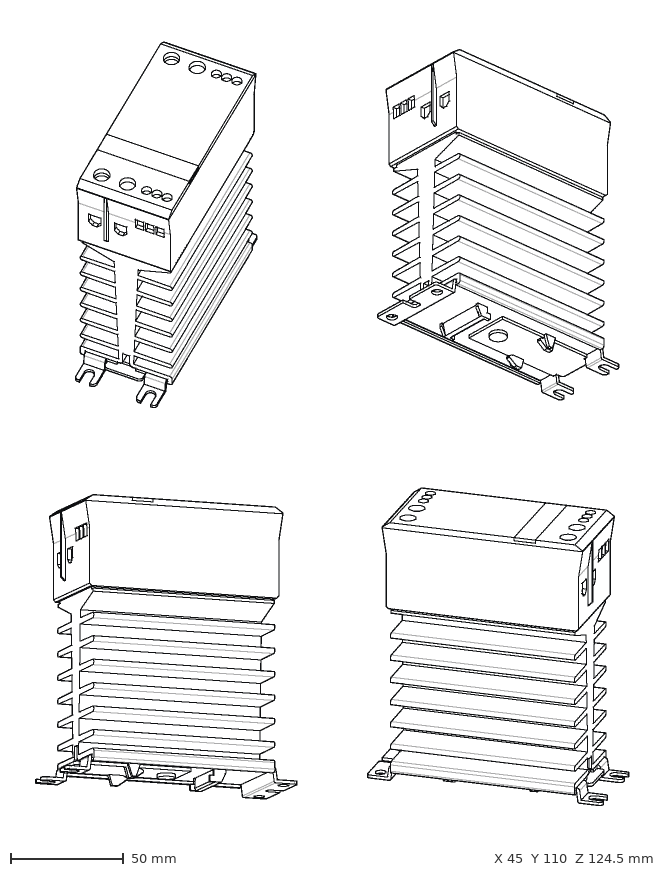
import cadquery as cq

WIDTH = 45.0
HALF_WIDTH = WIDTH / 2
SHEET = 1.5

TOP_Z = 124.5
LID_Z = 121.6
HOUSING_Z = 83.4
FOOT_BOTTOM_Z = 4.9
PLATE_TOP_Z = 7.7
PLATE_BOTTOM_Z = PLATE_TOP_Z - SHEET
SLIDER_BOTTOM_Z = PLATE_BOTTOM_Z - SHEET
LUG_BOTTOM_Z = 0.5

LID_HALF_LENGTH = 46.9
HOUSING_HALF_LENGTH = 45.1
LID_CHAMFER_LENGTH = 3.6
LID_CHAMFER_DROP = 2.5
SLOPE_END_Z = 109.7
HOUSING_CHAMFER = 1.0
RIB_CENTRE_X = -8.3
RIB_THICKNESS = 1.2
RIB_BOTTOM_Z = 90.6
RIB_CHAMFER = LID_HALF_LENGTH - HOUSING_HALF_LENGTH

POWER_X = (-14.5, -1.9)
CONTROL_X = (7.5, 12.5, 17.4)
SCREW_ROW_Y = 37.5
POWER_SCREW_DIAMETER = 7.2
CONTROL_SCREW_DIAMETER = 4.5
OUTER_SCREW_RECESS = 1.9
POWER_WINDOW_WIDTH = 6.0
POWER_WINDOW_TOP_Z = 104.5
POWER_WINDOW_BOTTOM_Z = 97.7
POWER_WINDOW_CHAMFER = 1.9
CONTROL_WINDOW_WIDTH = 4.0
CONTROL_WINDOW_TOP_Z = 112.0
CONTROL_WINDOW_BOTTOM_Z = 106.3
WINDOW_DEPTH = 1.9

LABEL_CENTRE_Y = -19.8
LABEL_LENGTH = 10.0
LABEL_THICKNESS = 1.5

SINK_HALF_LENGTH = 43.1
NECK_HALF_WIDTH = 19.8
FLANGE_HALF_WIDTH = 21.7
FLANGE_TOP_Z = 82.4
FLANGE_EDGE_Z = 81.0
STEM_TOP_Z = 75.3
STEM_TOP_HALF_WIDTH = 5.9
STEM_BOTTOM_HALF_WIDTH = 3.6
FIN_COUNT = 6
FIN_PITCH = 10.6
LOWEST_FIN_Z = 17.4
FIN_ROOT_HALF = 1.5
FIN_TIP_RADIUS = 1.2
FOOT_TOP_Z = 10.3
FOOT_RADIUS = 1.2
FOOT_INNER_HALF_WIDTH = 19.8
GROOVE_HALF_WIDTH = 20.2
STEM_SLOT_WIDTH = 3.4
STEM_SLOT_TOP_Z = 14.8
STEM_SLOT_CHAMFER = 1.1

TAB_OUTER_X = FOOT_INNER_HALF_WIDTH
TAB_INNER_X = 9.7
TAB_BEND_Y = 44.5
TAB_FOOT_Y = 45.3
TAB_FOOT_END_Y = 55.0
TAB_BEND_RADIUS = 1.5
TAB_HEEL_RADIUS = 0.7
TAB_OUTER_RADIUS = 1.5
TAB_INNER_RADIUS = 2.1
MOUNT_X = 15.0
MOUNT_SLOT_WIDTH = 4.9
MOUNT_SLOT_END_Y = 47.4
MOUNT_HOLE_DIAMETER = 4.7
MOUNT_HOLE_Y = 50.0
BACK_SLOT_WIDTH = 4.4
BACK_SLOT_END_Y = 47.9
BACK_SLOT_RADIUS = 1.1
PLATE_NOTCH_WIDTH = 9.1
PLATE_NOTCH_DEPTH = 1.5
LUG_INNER_X = 11.2

HOOK_OUTLINE = [
    (23.5, PLATE_BOTTOM_Z), (23.5, 4.7), (21.4, LUG_BOTTOM_Z), (16.3, LUG_BOTTOM_Z),
    (15.9, 0.9), (15.9, 3.4), (17.9, 3.4), (17.9, PLATE_BOTTOM_Z),
]
GUIDE_OUTLINE = [
    (-17.2, PLATE_BOTTOM_Z), (-19.2, LUG_BOTTOM_Z), (-20.9, LUG_BOTTOM_Z), (-22.9, PLATE_BOTTOM_Z),
]
STOP_WALL_OUTLINE = [
    (18.2, PLATE_BOTTOM_Z), (17.8, 1.5), (18.5, LUG_BOTTOM_Z), (21.4, LUG_BOTTOM_Z), (22.9, PLATE_BOTTOM_Z),
]
JAW_OUTLINE = [
    (-15.1, 3.7), (-15.1, 2.9), (-19.2, 0), (-22.2, 0), (-23.5, SLIDER_BOTTOM_Z), (-17.2, SLIDER_BOTTOM_Z),
]

SLIDER_FRONT_Y = -SINK_HALF_LENGTH
SLIDER_BACK_Y = 7.5
TONGUE_HALF_WIDTH = 9.2
TONGUE_END_Y = -46.9
TONGUE_CORNER_RADIUS = 1.9
RIVET_HEAD_DIAMETER = 8.1
RIVET_HEAD_HEIGHT = 1.5
RIVET_SHANK_DIAMETER = 5.0


def box(x0, x1, y0, y1, z0, z1):
    return cq.Workplane("XY").box(x1 - x0, y1 - y0, z1 - z0, centered=False).translate((x0, y0, z0))


def prism_along_x(points, x0, x1):
    """Outline given as (y, z) points, extruded from x0 to x1."""
    return cq.Workplane("YZ", origin=(x0, 0, 0)).polyline(points).close().extrude(x1 - x0)


def centred_slab(half_width, z0, z1):
    """Slab as long as the heat sink, centred on the part."""
    return box(-half_width, half_width, -SINK_HALF_LENGTH, SINK_HALF_LENGTH, z0, z1)


def mirrored(points):
    """Symmetric outline from the points of its positive half, listed from top to bottom."""
    return points + [(-a, b) for a, b in reversed(points)]


def make_lid():
    outline = mirrored([
        (LID_HALF_LENGTH - LID_CHAMFER_LENGTH, TOP_Z),
        (LID_HALF_LENGTH, TOP_Z - LID_CHAMFER_DROP),
        (LID_HALF_LENGTH, LID_Z),
    ])
    lid = prism_along_x(outline, -HALF_WIDTH, HALF_WIDTH).cut(make_label())
    rows = (-SCREW_ROW_Y, SCREW_ROW_Y)
    for columns, diameter in ((POWER_X, POWER_SCREW_DIAMETER), (CONTROL_X, CONTROL_SCREW_DIAMETER)):
        centres = [(x, y) for x in columns for y in rows]
        base = cq.Workplane("XY", origin=(0, 0, LID_Z))
        lid = lid.cut(base.pushPoints(centres).circle(diameter / 2).extrude(TOP_Z - LID_Z))
    return lid


def make_label():
    return box(-HALF_WIDTH, HALF_WIDTH,
               LABEL_CENTRE_Y - LABEL_LENGTH / 2, LABEL_CENTRE_Y + LABEL_LENGTH / 2,
               TOP_Z - LABEL_THICKNESS, TOP_Z)


def barrier_rib():
    """Rib between the power terminals, standing out from both end walls."""
    outline = mirrored([
        (LID_HALF_LENGTH, LID_Z),
        (LID_HALF_LENGTH, RIB_BOTTOM_Z + RIB_CHAMFER),
        (HOUSING_HALF_LENGTH, RIB_BOTTOM_Z),
    ])
    return prism_along_x(outline, RIB_CENTRE_X - RIB_THICKNESS / 2, RIB_CENTRE_X + RIB_THICKNESS / 2)


def wire_windows():
    """Cutters for the wire entries in the -Y end wall."""
    front = cq.Workplane("XZ", origin=(0, WINDOW_DEPTH - HOUSING_HALF_LENGTH, 0))
    reach = WINDOW_DEPTH + LID_HALF_LENGTH - HOUSING_HALF_LENGTH
    half = POWER_WINDOW_WIDTH / 2
    outline = mirrored([
        (half, POWER_WINDOW_TOP_Z),
        (half, POWER_WINDOW_BOTTOM_Z + POWER_WINDOW_CHAMFER),
        (half - POWER_WINDOW_CHAMFER, POWER_WINDOW_BOTTOM_Z),
    ])
    cutters = [front.center(x, 0).polyline(outline).close().extrude(reach) for x in POWER_X]
    height = CONTROL_WINDOW_TOP_Z - CONTROL_WINDOW_BOTTOM_Z
    for x in CONTROL_X:
        cutters.append(
            front.center(x, CONTROL_WINDOW_BOTTOM_Z + height / 2)
            .rect(CONTROL_WINDOW_WIDTH, height).extrude(reach)
        )
    return cutters


def make_housing():
    outline = mirrored([
        (LID_HALF_LENGTH, LID_Z),
        (HOUSING_HALF_LENGTH, SLOPE_END_Z),
        (HOUSING_HALF_LENGTH, HOUSING_Z + HOUSING_CHAMFER),
        (HOUSING_HALF_LENGTH - HOUSING_CHAMFER, HOUSING_Z),
    ])
    housing = prism_along_x(outline, -HALF_WIDTH, HALF_WIDTH).union(barrier_rib())
    for window in wire_windows():
        housing = housing.cut(window)
        housing = housing.cut(window.mirror("XZ"))
    recesses = cq.Workplane("XY", origin=(POWER_X[0], 0, LID_Z - OUTER_SCREW_RECESS))
    recesses = recesses.pushPoints([(0, -SCREW_ROW_Y), (0, SCREW_ROW_Y)])
    housing = housing.cut(recesses.circle(POWER_SCREW_DIAMETER / 2).extrude(OUTER_SCREW_RECESS))
    return housing


def sink_plane():
    return cq.Workplane("XZ", origin=(0, SINK_HALF_LENGTH, 0))


def fin(z):
    """Pair of fins, tapering from the stem to a full round at each tip."""
    arc_x = HALF_WIDTH - FIN_TIP_RADIUS
    return (
        sink_plane()
        .moveTo(0, z + FIN_ROOT_HALF)
        .lineTo(arc_x, z + FIN_TIP_RADIUS)
        .threePointArc((HALF_WIDTH, z), (arc_x, z - FIN_TIP_RADIUS))
        .lineTo(0, z - FIN_ROOT_HALF)
        .lineTo(-arc_x, z - FIN_TIP_RADIUS)
        .threePointArc((-HALF_WIDTH, z), (-arc_x, z + FIN_TIP_RADIUS))
        .close().extrude(2 * SINK_HALF_LENGTH)
    )


def sink_foot():
    foot = centred_slab(HALF_WIDTH, FOOT_BOTTOM_Z, FOOT_TOP_Z).edges("|Y").fillet(FOOT_RADIUS)
    opening = centred_slab(FOOT_INNER_HALF_WIDTH, FOOT_BOTTOM_Z, PLATE_TOP_Z)
    groove = centred_slab(GROOVE_HALF_WIDTH, PLATE_BOTTOM_Z, PLATE_TOP_Z)
    return foot.cut(opening).cut(groove)


def make_heat_sink():
    stem = mirrored([
        (NECK_HALF_WIDTH, HOUSING_Z),
        (NECK_HALF_WIDTH, FLANGE_TOP_Z),
        (FLANGE_HALF_WIDTH, FLANGE_TOP_Z),
        (FLANGE_HALF_WIDTH, FLANGE_EDGE_Z),
        (STEM_TOP_HALF_WIDTH, STEM_TOP_Z),
        (STEM_BOTTOM_HALF_WIDTH, FOOT_TOP_Z),
    ])
    sink = sink_plane().polyline(stem).close().extrude(2 * SINK_HALF_LENGTH)
    sink = sink.union(sink_foot())
    for i in range(FIN_COUNT):
        sink = sink.union(fin(LOWEST_FIN_Z + i * FIN_PITCH))
    half = STEM_SLOT_WIDTH / 2
    slot = mirrored([
        (half, STEM_SLOT_TOP_Z),
        (half, PLATE_TOP_Z + STEM_SLOT_CHAMFER),
        (half + STEM_SLOT_CHAMFER, PLATE_TOP_Z),
    ])
    return sink.cut(sink_plane().polyline(slot).close().extrude(2 * SINK_HALF_LENGTH))


def bent_tab(x0, x1):
    """Tab at the +Y end: bends down from the plate, then out into a flat foot."""
    start_y = SINK_HALF_LENGTH - SHEET
    foot_top_z = LUG_BOTTOM_Z + SHEET
    tab = prism_along_x([
        (start_y, PLATE_TOP_Z),
        (TAB_BEND_Y, PLATE_TOP_Z),
        (TAB_FOOT_Y, foot_top_z),
        (TAB_FOOT_END_Y, foot_top_z),
        (TAB_FOOT_END_Y, LUG_BOTTOM_Z),
        (TAB_FOOT_Y - SHEET, LUG_BOTTOM_Z),
        (SINK_HALF_LENGTH, PLATE_BOTTOM_Z),
        (start_y, PLATE_BOTTOM_Z),
    ], x0, x1)
    middle_x = (x0 + x1) / 2
    bend = cq.selectors.NearestToPointSelector((middle_x, TAB_BEND_Y, PLATE_TOP_Z))
    heel = cq.selectors.NearestToPointSelector((middle_x, TAB_FOOT_Y - SHEET, LUG_BOTTOM_Z))
    return tab.edges(bend).fillet(TAB_BEND_RADIUS).edges(heel).fillet(TAB_HEEL_RADIUS)


def back_tab():
    tab = bent_tab(-TAB_OUTER_X, TAB_OUTER_X)
    tab = tab.edges("|Z and >Y").fillet(TAB_OUTER_RADIUS)
    holes = cq.Workplane("XY").pushPoints([(-MOUNT_X, MOUNT_HOLE_Y), (MOUNT_X, MOUNT_HOLE_Y)])
    tab = tab.cut(holes.circle(MOUNT_HOLE_DIAMETER / 2).extrude(PLATE_BOTTOM_Z))
    slot = box(-BACK_SLOT_WIDTH / 2, BACK_SLOT_WIDTH / 2, BACK_SLOT_END_Y, TAB_FOOT_END_Y, 0, PLATE_BOTTOM_Z)
    return tab.cut(slot.edges("|Z and <Y").fillet(BACK_SLOT_RADIUS))


def front_tab():
    """Forked tab on the +X side of the front end."""
    tab = bent_tab(TAB_INNER_X, TAB_OUTER_X)
    tab = tab.edges("|Z and >Y and >X").fillet(TAB_OUTER_RADIUS)
    tab = tab.edges("|Z and >Y and <X").fillet(TAB_INNER_RADIUS)
    radius = MOUNT_SLOT_WIDTH / 2
    arc_y = MOUNT_SLOT_END_Y + radius
    slot = box(MOUNT_X - radius, MOUNT_X + radius, arc_y, TAB_FOOT_END_Y, 0, PLATE_BOTTOM_Z)
    slot_end = cq.Workplane("XY").center(MOUNT_X, arc_y).circle(radius).extrude(PLATE_BOTTOM_Z)
    return tab.cut(slot).cut(slot_end).mirror("XZ")


def rail_lugs():
    """Lugs on the +X side, bent down from the plate: a rail hook and a guide for the jaw."""
    return [prism_along_x(outline, LUG_INNER_X, LUG_INNER_X + SHEET)
            for outline in (HOOK_OUTLINE, GUIDE_OUTLINE)]


def stop_wall():
    """Cross wall that joins the two rail hooks."""
    return prism_along_x(STOP_WALL_OUTLINE, -LUG_INNER_X, LUG_INNER_X)


def make_plate():
    plate = centred_slab(GROOVE_HALF_WIDTH, PLATE_BOTTOM_Z, PLATE_TOP_Z)
    notch = box(-PLATE_NOTCH_WIDTH / 2, PLATE_NOTCH_WIDTH / 2,
                -SINK_HALF_LENGTH, PLATE_NOTCH_DEPTH - SINK_HALF_LENGTH,
                PLATE_BOTTOM_Z, PLATE_TOP_Z)
    plate = plate.cut(notch)
    plate = plate.union(back_tab()).union(stop_wall())
    for piece in [front_tab()] + rail_lugs():
        plate = plate.union(piece).union(piece.mirror("YZ"))
    return plate.cut(make_rivet())


def jaw_cheek():
    """Cheek on the +X side that grips the rail."""
    return prism_along_x(JAW_OUTLINE, TONGUE_HALF_WIDTH, LUG_INNER_X)


def make_slider():
    tongue = box(-TONGUE_HALF_WIDTH, TONGUE_HALF_WIDTH, TONGUE_END_Y, SLIDER_FRONT_Y,
                 SLIDER_BOTTOM_Z, PLATE_BOTTOM_Z)
    tongue = tongue.edges("|Z and <Y").fillet(TONGUE_CORNER_RADIUS)
    slider = box(-LUG_INNER_X, LUG_INNER_X, SLIDER_FRONT_Y, SLIDER_BACK_Y, SLIDER_BOTTOM_Z, PLATE_BOTTOM_Z)
    cheek = jaw_cheek()
    slider = slider.union(tongue).union(cheek).union(cheek.mirror("YZ"))
    return slider.cut(make_rivet())


def make_rivet():
    head = cq.Workplane("XY", origin=(0, 0, SLIDER_BOTTOM_Z - RIVET_HEAD_HEIGHT))
    head = head.circle(RIVET_HEAD_DIAMETER / 2).extrude(RIVET_HEAD_HEIGHT)
    shank = cq.Workplane("XY", origin=(0, 0, SLIDER_BOTTOM_Z))
    shank = shank.circle(RIVET_SHANK_DIAMETER / 2).extrude(PLATE_TOP_Z - SLIDER_BOTTOM_Z)
    return head.union(shank)


lid = make_lid()
label = make_label()
housing = make_housing()
heat_sink = make_heat_sink()
plate = make_plate()
slider = make_slider()
rivet = make_rivet()

bodies = [lid, label, housing, heat_sink, plate, slider, rivet]
result = cq.Compound.makeCompound([body.solids().val() for body in bodies])